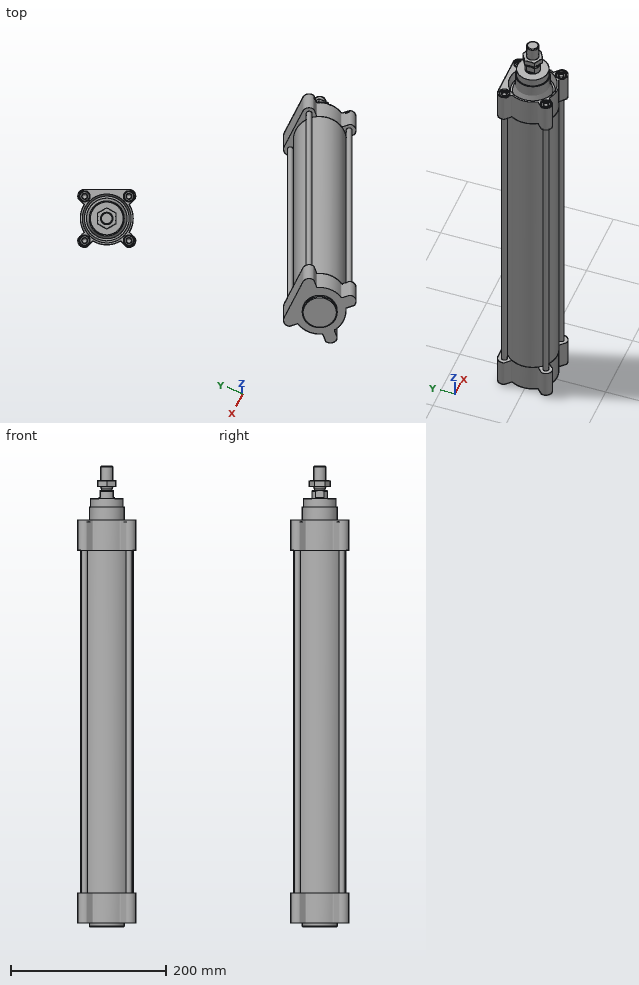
import cadquery as cq
import math

total_length = 593.0
head_width = 75.0
head_height = 39.0
head_diameter = 67.5
tube_diameter = 68.0
rear_boss_height = 5.0
front_head_top = 524.0
boss_diameter = 45.0
boss_step_z = 540.5
boss_tip_diameter = 42.0
boss_top_z = 551.0
rear_boss_chamfer = 1.0

lug_offset = 28.5
lug_arm_width = 16.0
lug_corner_radius = 3.0
lug_root_radius = 1.0

recess_top_diameter = 63.0
recess_floor_outer_diameter = 57.5
recess_floor_inner_diameter = 52.0
recess_depth = 11.0

tie_rod_diameter = 8.0
screw_bore_diameter = 14.0
screw_bore_depth = 2.5
screw_head_diameter = 13.0
screw_head_top_diameter = 12.0
screw_head_sink = 1.0
socket_mouth_diameter = 8.0
socket_diameter = 6.5
socket_depth = 2.0

rod_diameter = 20.0
rod_collar_height = 2.0
rod_top_z = 561.5
rod_flat_width = 17.0
neck_diameter = 13.5
thread_diameter = 16.0
thread_bottom_z = 563.5
rod_chamfer = 1.0

nut_bottom_z = 566.5
nut_height = 8.0
nut_flat_width = 24.0
nut_corner_drop = 0.5

lug_round_radius = head_width / 2 - lug_offset
rear_head_top = rear_boss_height + head_height
front_head_bottom = front_head_top - head_height
lug_points = [(x * lug_offset, y * lug_offset) for x in (-1, 1) for y in (-1, 1)]

position_tolerance = 0.005


def cylinder(diameter, bottom, top):
    """Upright cylinder on the main axis."""
    return cq.Workplane("XY").workplane(offset=bottom).circle(diameter / 2).extrude(top - bottom)


def make_lug_arm(bottom):
    """Arm along +X from the main axis to the rounded end of a lug."""
    half_width = lug_arm_width / 2
    centre = lug_offset * math.sqrt(2)
    corner = centre + math.sqrt(lug_round_radius**2 - half_width**2)
    return (
        cq.Workplane("XY").workplane(offset=bottom)
        .moveTo(0, -half_width)
        .lineTo(corner, -half_width)
        .threePointArc((centre + lug_round_radius, 0), (corner, half_width))
        .lineTo(0, half_width)
        .close()
        .extrude(head_height)
        .edges("|Z").edges(">X").fillet(lug_corner_radius)
    )


def is_lug_root(edge):
    """Whether an upright edge is where a lug arm leaves the round head."""
    middle = edge.Center()
    from_axis = math.hypot(middle.x, middle.y)
    on_head_round = abs(from_axis - head_diameter / 2) < position_tolerance
    is_cylinder_seam = abs(middle.y) < position_tolerance
    return on_head_round and not is_cylinder_seam


def make_head(bottom):
    """Round head with four diagonal lugs, rounded at their roots, and a flat +Y side."""
    head = cylinder(head_diameter, bottom, bottom + head_height)
    for angle in (45, 135, 225, 315):
        head = head.union(make_lug_arm(bottom).rotate((0, 0, 0), (0, 0, 1), angle))
    lug_roots = [edge for edge in head.edges("|Z").vals() if is_lug_root(edge)]
    head = head.newObject(lug_roots).fillet(lug_root_radius)
    flat_side = (
        cq.Workplane("XY").workplane(offset=bottom)
        .center(0, head_width / 4)
        .rect(2 * lug_offset, head_width / 2)
        .extrude(head_height)
    )
    return head.union(flat_side)


def make_front_recess():
    """Ring with a flat floor and sloping walls that surrounds the front boss."""
    floor_z = front_head_top - recess_depth
    return (
        cq.Workplane("XZ")
        .moveTo(boss_diameter / 2, front_head_top)
        .lineTo(recess_floor_inner_diameter / 2, floor_z)
        .lineTo(recess_floor_outer_diameter / 2, floor_z)
        .lineTo(recess_top_diameter / 2, front_head_top)
        .close()
        .revolve(360, (0, 0, 0), (0, 1, 0))
    )


def make_screw_recess():
    """Bore round a sunken screw head that has a chamfered, pointed socket."""
    bore_radius = screw_bore_diameter / 2
    head_radius = screw_head_diameter / 2
    head_top_radius = screw_head_top_diameter / 2
    mouth_radius = socket_mouth_diameter / 2
    socket_radius = socket_diameter / 2
    socket_floor = -screw_head_sink - socket_depth
    return (
        cq.Workplane("XZ")
        .lineTo(bore_radius, 0)
        .lineTo(bore_radius, -screw_bore_depth)
        .lineTo(head_radius, -screw_bore_depth)
        .lineTo(head_radius, -screw_head_sink - (head_radius - head_top_radius))
        .lineTo(head_top_radius, -screw_head_sink)
        .lineTo(mouth_radius, -screw_head_sink)
        .lineTo(socket_radius, -screw_head_sink - (mouth_radius - socket_radius))
        .lineTo(socket_radius, socket_floor)
        .lineTo(0, socket_floor - socket_radius)
        .close()
        .revolve(360, (0, 0, 0), (0, 1, 0))
    )


def make_housing():
    """Heads, tube, bosses and tie rods as one solid."""
    tube = cylinder(tube_diameter, rear_head_top, front_head_bottom)
    rear_boss = cylinder(boss_diameter, 0, rear_boss_height).faces("<Z").chamfer(rear_boss_chamfer)
    front_boss = cylinder(boss_diameter, front_head_top, boss_step_z)
    boss_tip = cylinder(boss_tip_diameter, boss_step_z, boss_top_z)
    tie_rod = cylinder(tie_rod_diameter, rear_head_top, front_head_bottom)
    front_head = make_head(front_head_bottom).cut(make_front_recess())
    housing = make_head(rear_boss_height)
    for feature in (rear_boss, tube, front_head, front_boss, boss_tip):
        housing = housing.union(feature)
    for x, y in lug_points:
        housing = housing.union(tie_rod.translate((x, y, 0)))
        housing = housing.cut(make_screw_recess().translate((x, y, front_head_top)))
    return housing


def make_piston_rod():
    """Rod end with two wrench flats, a neck and a stub for the thread."""
    rod = cylinder(rod_diameter, boss_top_z, rod_top_z).faces(">Z").chamfer(rod_chamfer)
    flats_bottom = boss_top_z + rod_collar_height
    between_flats = (
        cq.Workplane("XY").workplane(offset=flats_bottom)
        .rect(rod_flat_width, rod_diameter)
        .extrude(rod_top_z - flats_bottom)
    )
    rod = rod.intersect(between_flats.union(cylinder(rod_diameter, boss_top_z, flats_bottom)))
    neck = cylinder(neck_diameter, rod_top_z, nut_bottom_z)
    lead_height = nut_bottom_z - thread_bottom_z
    lead_cone = cq.Solid.makeCone(
        neck_diameter / 2, thread_diameter / 2, lead_height, cq.Vector(0, 0, thread_bottom_z)
    )
    thread = cylinder(thread_diameter, nut_bottom_z, total_length).faces(">Z").chamfer(rod_chamfer)
    return rod.union(neck).union(cq.Workplane(lead_cone)).union(thread)


def make_nut():
    """Hexagon nut with corners on the Y axis and a conical top edge."""
    corner_diameter = nut_flat_width / math.cos(math.pi / 6)
    nut = (
        cq.Workplane("XY").workplane(offset=nut_bottom_z)
        .transformed(rotate=(0, 0, 90))
        .polygon(6, corner_diameter)
        .extrude(nut_height)
    )
    rounded_top = (
        cylinder(corner_diameter, nut_bottom_z, nut_bottom_z + nut_height)
        .faces(">Z").chamfer(nut_corner_drop, (corner_diameter - nut_flat_width) / 2)
    )
    return nut.intersect(rounded_top).cut(cylinder(thread_diameter, nut_bottom_z, total_length))


housing = make_housing()
piston_rod = make_piston_rod()
nut = make_nut()

result = cq.Compound.makeCompound([body.solids().val() for body in (housing, piston_rod, nut)])